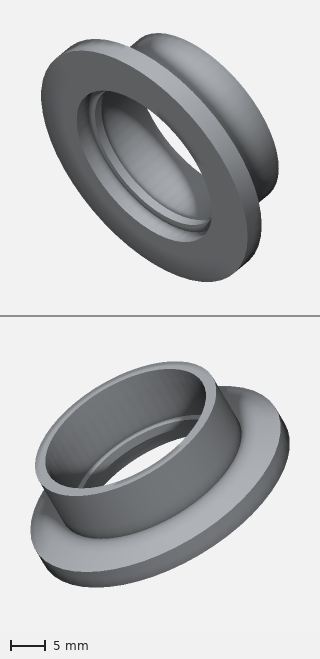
import cadquery as cq

flange_diameter = 40.0
hub_diameter = 29.0
bore_diameter = 23.7
seal_recess_diameter = 26.2
tube_socket_diameter = 25.7

total_length = 12.7
rim_length = 3.0
taper_length = 1.5
seal_recess_depth = 2.5
bore_land_length = 1.3

flange_radius = flange_diameter / 2
hub_radius = hub_diameter / 2
taper_end = rim_length + taper_length
socket_start = seal_recess_depth + bore_land_length
socket_depth = total_length - socket_start


def flange_body():
    """Solid rim, tapered clamping shoulder and hub."""
    return (
        cq.Workplane("XY")
        .moveTo(0, 0)
        .lineTo(flange_radius, 0)
        .lineTo(flange_radius, rim_length)
        .lineTo(hub_radius, taper_end)
        .lineTo(hub_radius, total_length)
        .lineTo(0, total_length)
        .close()
        .revolve(360, (0, 0, 0), (0, 1, 0))
    )


def round_cut(diameter, start, depth):
    """Cylinder along +Y, beginning at the given distance from the sealing face."""
    return cq.Workplane("XZ", origin=(0, start, 0)).circle(diameter / 2).extrude(-depth)


result = (
    flange_body()
    .cut(round_cut(bore_diameter, 0, total_length))
    .cut(round_cut(seal_recess_diameter, 0, seal_recess_depth))
    .cut(round_cut(tube_socket_diameter, socket_start, socket_depth))
)